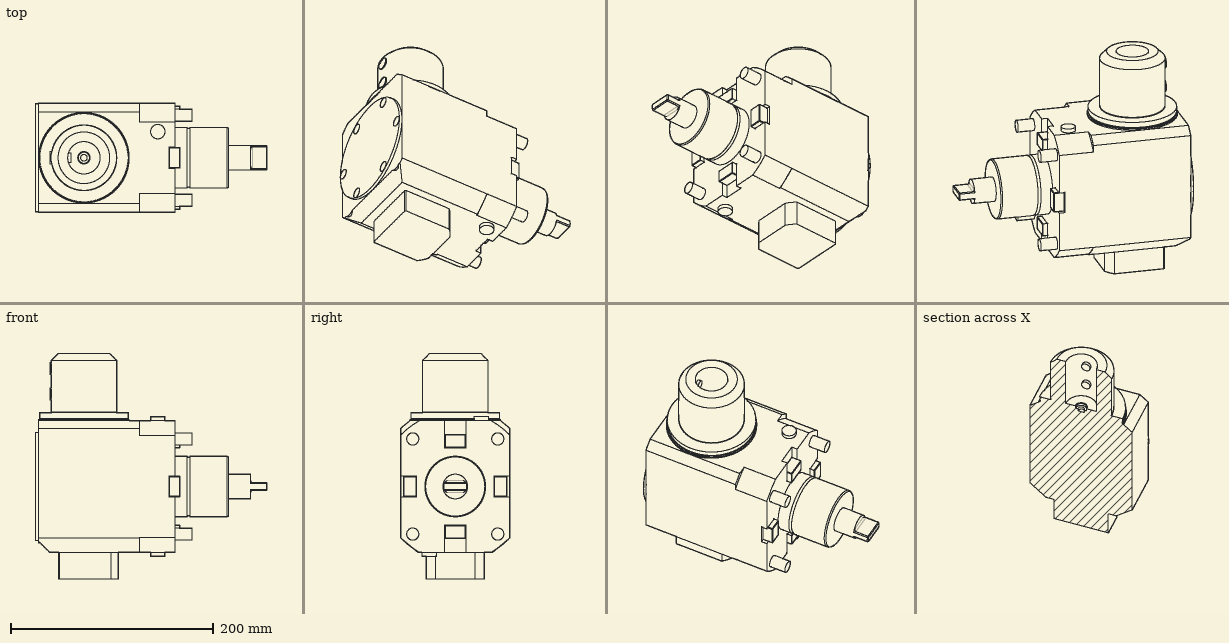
import cadquery as cq
import math


overall_height = 223.0
body_length = 135.0
body_half_width = 54.0
body_half_height = 65.0
turned_radius = 74.0
turned_length = 35.0
top_flat_half_width = 45.0
top_bevel_drop = 7.5
bottom_flat_half_width = 37.0
bottom_bevel_rise = 14.3
rear_bottom_chamfer = 11.0

cover_diameter = 107.0
cover_thickness = 3.0
cover_screw_count = 6
cover_screw_radius = 48.0
cover_screw_diameter = 10.4
cover_screw_recess = 0.2

shank_x = -90.0
shank_diameter = 65.0
shank_top = 131.5
shank_chamfer = 7.0
undercut_diameter = 64.0
undercut_height = 0.7
flange_diameter = 87.8
flange_bottom = 67.4
flange_top = 73.0
collar_diameter = 89.5
collar_top = 66.3
neck_diameter = 86.5
bore_diameter = 32.0
bore_depth = 58.0
bore_screw_recess_diameter = 11.0
bore_screw_recess_chamfer = 0.6
bore_screw_recess_depth = 3.0
bore_screw_socket_diameter = 6.5
bore_screw_socket_depth = 6.0

clamp_screw_diameter = 12.0
clamp_screw_heights = (91.5, 116.5)
clamp_screw_outer_reach = 33.3
clamp_screw_inner_reach = 13.0
clamp_screw_tip_diameter = 9.0
clamp_screw_tip_length = 4.0

boss_diameter = 60.0
boss_length = 53.0
boss_chamfer_length = 1.5
boss_chamfer_depth = 0.8
groove_start = 12.0
groove_end = 15.0
groove_depth = 1.0
shaft_diameter = 24.4
shaft_end = 74.8
tang_thickness = 7.8
tang_end = 91.05
tang_chamfer = 0.9
tang_root_fillet = 1.8

bolt_y = 42.0
bolt_z = 47.0
bolt_diameter = 12.0
bolt_reach = 17.0
bolt_head_diameter = 18.0
bolt_head_length = 12.0

key_count = 4
key_inner_radius = 38.2
key_outer_radius = 51.3
key_width = 20.4
key_reach = 5.0
key_chamfer = 0.6
key_slot_depth = 6.0
key_slot_clearance = 0.4

plug_x = -17.0
plug_y = 25.8
plug_diameter = 14.2
plug_height = 4.0

block_left = -115.0
block_right = -56.0
block_half_width = 28.8
block_turned_radius = 39.2
block_bottom = shank_top - overall_height
block_chamfer = 1.0


def x_cylinder(diameter, x_start, x_end, y=0.0, z=0.0):
    """Cylinder along X between two X positions."""
    return (
        cq.Workplane("YZ", origin=(x_start, y, z))
        .circle(diameter / 2)
        .extrude(x_end - x_start)
    )


def z_cylinder(diameter, z_start, z_end, x=0.0, y=0.0):
    """Cylinder along Z between two Z positions."""
    return (
        cq.Workplane("XY", origin=(x, y, z_start))
        .circle(diameter / 2)
        .extrude(z_end - z_start)
    )


def make_housing():
    """Bevelled housing with turned corners at the mounting face."""
    top_bevel_z = body_half_height - top_bevel_drop
    bottom_bevel_z = -body_half_height + bottom_bevel_rise
    rear = (
        cq.Workplane("YZ", origin=(-body_length, 0, 0))
        .polyline([
            (-top_flat_half_width, body_half_height),
            (top_flat_half_width, body_half_height),
            (body_half_width, top_bevel_z),
            (body_half_width, bottom_bevel_z),
            (bottom_flat_half_width, -body_half_height),
            (-bottom_flat_half_width, -body_half_height),
            (-body_half_width, bottom_bevel_z),
            (-body_half_width, top_bevel_z),
        ])
        .close()
        .extrude(body_length - turned_length)
        .faces("<X").edges("<Z").chamfer(rear_bottom_chamfer)
    )
    front = (
        cq.Workplane("YZ", origin=(-turned_length, 0, 0))
        .rect(2 * body_half_width, 2 * body_half_height)
        .extrude(turned_length)
        .intersect(x_cylinder(2 * turned_radius, -turned_length, 0))
    )
    return rear.union(front)


def make_cover():
    """Round cover on the -X face with a ring of slightly recessed screws."""
    outer_x = -body_length - cover_thickness
    cover = x_cylinder(cover_diameter, outer_x, -body_length)
    for i in range(cover_screw_count):
        angle = 2 * math.pi * i / cover_screw_count
        y = cover_screw_radius * math.cos(angle)
        z = cover_screw_radius * math.sin(angle)
        cover = cover.cut(x_cylinder(cover_screw_diameter, outer_x, outer_x + cover_screw_recess, y, z))
    return cover


def make_shank():
    """Upright shank with its collar, flange, blind bore and clamping screws."""
    shank = z_cylinder(shank_diameter, flange_top + undercut_height, shank_top, shank_x)
    shank = shank.faces(">Z").chamfer(shank_chamfer)
    for diameter, z_start, z_end in (
        (collar_diameter, body_half_height, collar_top),
        (neck_diameter, collar_top, flange_bottom),
        (flange_diameter, flange_bottom, flange_top),
        (undercut_diameter, flange_top, flange_top + undercut_height),
    ):
        shank = shank.union(z_cylinder(diameter, z_start, z_end, shank_x))

    bore_floor = shank_top - bore_depth
    recess_floor = bore_floor - bore_screw_recess_depth
    socket_floor = bore_floor - bore_screw_socket_depth
    shank = shank.cut(z_cylinder(bore_diameter, bore_floor, shank_top, shank_x))
    recess = z_cylinder(bore_screw_recess_diameter, recess_floor, bore_floor, shank_x)
    mouth_diameter = bore_screw_recess_diameter + 2 * bore_screw_recess_chamfer
    recess_mouth = (
        cq.Workplane("XY", origin=(shank_x, 0, bore_floor))
        .circle(mouth_diameter / 2)
        .extrude(-bore_screw_recess_chamfer, taper=45)
    )
    shank = shank.cut(recess).cut(recess_mouth)
    shank = shank.cut(z_cylinder(bore_screw_socket_diameter, socket_floor, recess_floor, shank_x))

    outer_x = shank_x - clamp_screw_outer_reach
    inner_x = shank_x - clamp_screw_inner_reach
    body_end_x = inner_x - clamp_screw_tip_length
    for z in clamp_screw_heights:
        shank = shank.union(x_cylinder(clamp_screw_diameter, outer_x, body_end_x, z=z))
        shank = shank.union(x_cylinder(clamp_screw_tip_diameter, body_end_x, inner_x, z=z))
    return shank


def make_drive():
    """Locating boss, drive shaft and flat driving tang along +X."""
    boss_radius = boss_diameter / 2
    boss = (
        cq.Workplane("XY")
        .lineTo(0, boss_radius)
        .lineTo(groove_start, boss_radius)
        .threePointArc(
            ((groove_start + groove_end) / 2, boss_radius - groove_depth),
            (groove_end, boss_radius),
        )
        .lineTo(boss_length - boss_chamfer_length, boss_radius)
        .lineTo(boss_length, boss_radius - boss_chamfer_depth)
        .lineTo(boss_length, 0)
        .close()
        .revolve(360, (0, 0, 0), (1, 0, 0))
    )
    tang = x_cylinder(shaft_diameter, shaft_end, tang_end).intersect(
        cq.Workplane("XY").box(2 * tang_end, shaft_diameter, tang_thickness)
    )
    tang = tang.edges("|X").chamfer(tang_chamfer).faces(">X").chamfer(tang_chamfer)
    shaft = x_cylinder(shaft_diameter, boss_length, shaft_end).union(tang)
    shaft = shaft.edges("|Y").edges("<X").fillet(tang_root_fillet)
    return boss.union(shaft)


def add_bolts(part):
    """Four mounting bolts through the housing, with heads at the -X face."""
    for y in (-bolt_y, bolt_y):
        for z in (-bolt_z, bolt_z):
            part = part.union(x_cylinder(bolt_diameter, 0, bolt_reach, y, z))
            part = part.union(
                x_cylinder(bolt_head_diameter, -body_length, -body_length + bolt_head_length, y, z)
            )
    return part


def add_keys(part):
    """Four radial keys seated in open slots in the mounting face."""
    slot_width = key_width + 2 * key_slot_clearance
    slot = cq.Workplane("XY").box(
        key_slot_depth, slot_width, body_half_height, centered=(False, True, False)
    ).translate((-key_slot_depth, 0, key_inner_radius))
    key = cq.Workplane("XY").box(
        key_slot_depth + key_reach,
        key_width,
        key_outer_radius - key_inner_radius,
        centered=(False, True, False),
    ).translate((-key_slot_depth, 0, key_inner_radius))
    key = key.faces(">Z or >X").edges().chamfer(key_chamfer)
    for i in range(key_count):
        angle = 360.0 * i / key_count
        part = part.cut(slot.rotate((0, 0, 0), (1, 0, 0), angle))
        part = part.union(key.rotate((0, 0, 0), (1, 0, 0), angle))
    return part


def make_plugs():
    """Round plugs standing proud of the top and bottom faces, on opposite sides in Y."""
    plug_end = body_half_height + plug_height
    top = z_cylinder(plug_diameter, body_half_height, plug_end, plug_x, plug_y)
    bottom = z_cylinder(plug_diameter, -plug_end, -body_half_height, plug_x, -plug_y)
    return top, bottom


def make_bottom_block():
    """Block under the housing: chamfered -X corners, +X corners turned about the shank axis."""
    block = (
        cq.Workplane("XY")
        .box(
            block_right - block_left,
            2 * block_half_width,
            -body_half_height - block_bottom,
            centered=(False, True, False),
        )
        .translate((block_left, 0, block_bottom))
    )
    turned = z_cylinder(2 * block_turned_radius, block_bottom, -body_half_height, shank_x)
    return block.intersect(turned).faces("<X").edges("|Z").chamfer(block_chamfer)


result = make_housing()
result = add_bolts(result)
result = add_keys(result)
result = result.union(make_cover()).union(make_shank()).union(make_drive())
for plug in make_plugs():
    result = result.union(plug)
result = result.union(make_bottom_block())